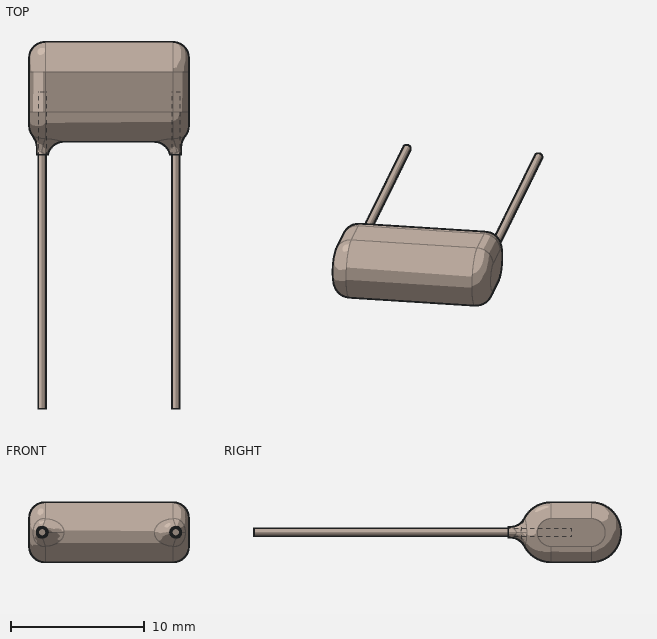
import cadquery as cq

body_width = 12.0
body_thickness = 4.5
body_depth = 7.5
end_rounding = 1.2
total_length = 27.5

lead_spacing = 10.0
lead_diameter = 0.6
collar_diameter = 0.82
collar_length = 0.95
collar_fillet = 1.2

body_front = -body_depth
collar_end = body_front - collar_length
lead_end = -total_length
lead_root = -body_depth / 2
lead_positions = [-lead_spacing / 2, lead_spacing / 2]


def rod(x, diameter, start_y, end_y):
    """Round rod parallel to Y, running toward -Y from start_y to end_y."""
    return (
        cq.Workplane("XZ", origin=(x, start_y, 0))
        .circle(diameter / 2)
        .extrude(start_y - end_y)
    )


def make_rounded_block():
    """Stadium section swept along X, with both end rims rounded."""
    return (
        cq.Workplane("YZ", origin=(0, -body_depth / 2, 0))
        .slot2D(body_depth, body_thickness)
        .extrude(body_width / 2, both=True)
        .faces("<X or >X")
        .edges()
        .fillet(end_rounding)
    )


def add_collars(block):
    """Blend a collar into the block at each lead, then trim the collars square."""
    trim_length = collar_fillet
    for x in lead_positions:
        joined = block.union(rod(x, collar_diameter, lead_root, collar_end - trim_length))
        joint_box = cq.selectors.BoxSelector(
            (x - collar_diameter, body_front - collar_length, -collar_diameter),
            (x + collar_diameter, body_front + collar_length, collar_diameter),
            boundingbox=True,
        )
        block = joined.edges(joint_box).fillet(collar_fillet)
    trim = cq.Workplane("XZ", origin=(0, collar_end, 0)).rect(body_width, body_thickness).extrude(trim_length)
    return block.cut(trim)


def make_housing():
    """Coated body with a blind hole for the root of each lead."""
    housing = add_collars(make_rounded_block())
    for x in lead_positions:
        housing = housing.cut(rod(x, lead_diameter, lead_root, collar_end))
    return housing


def make_lead(x):
    """Straight wire lead seated in the housing."""
    return rod(x, lead_diameter, lead_root, lead_end)


housing = make_housing()
leads = [make_lead(x) for x in lead_positions]
result = cq.Compound.makeCompound([housing.val(), *[lead.val() for lead in leads]])